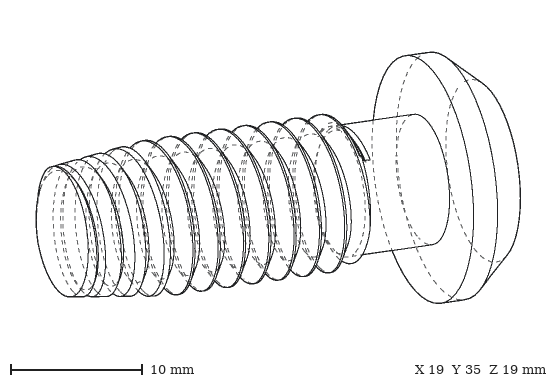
import cadquery as cq

total_length = 35.0
head_diameter = 19.0
head_height = 5.0
rim_height = 2.0
head_top_diameter = 14.0
shank_diameter = 10.0
shank_length = 7.0

thread_diameter = 12.0
root_diameter = 9.3
pitch = 2.1
crest_width = 0.18
taper_length = 8.0
tip_diameter = shank_diameter
groove_end_height = 23.8
groove_end_angle = -45.0
groove_turns = 12
cutter_overlap = 0.05

head_base = total_length - head_height
thread_top = head_base - shank_length


def make_blank():
    """Revolve the unthreaded screw about Z, tip at the origin and head up."""
    return (
        cq.Workplane("XZ")
        .lineTo(tip_diameter / 2, 0)
        .lineTo(thread_diameter / 2, taper_length)
        .lineTo(thread_diameter / 2, thread_top)
        .lineTo(shank_diameter / 2, thread_top)
        .lineTo(shank_diameter / 2, head_base)
        .lineTo(head_diameter / 2, head_base)
        .lineTo(head_diameter / 2, head_base + rim_height)
        .lineTo(head_top_diameter / 2, total_length)
        .lineTo(0, total_length)
        .close()
        .revolve(360, (0, 0, 0), (0, 1, 0))
    )


def make_groove_turn():
    """Sweep the top turn of the V-shaped groove along a right-hand helix."""
    root_radius = root_diameter / 2
    crest_radius = thread_diameter / 2
    outer_radius = crest_radius + cutter_overlap
    flank_slope = (pitch - crest_width) / 2 / (crest_radius - root_radius)
    half_width = flank_slope * (outer_radius - root_radius)
    helix = cq.Wire.makeHelix(pitch, pitch, root_radius)
    groove_turn = (
        cq.Workplane("XZ")
        .moveTo(root_radius, 0)
        .lineTo(outer_radius, half_width)
        .lineTo(outer_radius, -half_width)
        .close()
        .sweep(cq.Workplane(helix), isFrenet=True)
    )
    return (
        groove_turn
        .translate((0, 0, groove_end_height - pitch))
        .rotate((0, 0, 0), (0, 0, 1), groove_end_angle)
    )


def cut_thread(blank):
    """Cut the groove turn by turn from the shank down past the tip."""
    groove_turn = make_groove_turn()
    for turn in range(groove_turns):
        blank = blank.cut(groove_turn.translate((0, 0, -turn * pitch)))
    return blank


screw = cut_thread(make_blank())
result = screw.rotate((0, 0, 0), (1, 0, 0), -90)